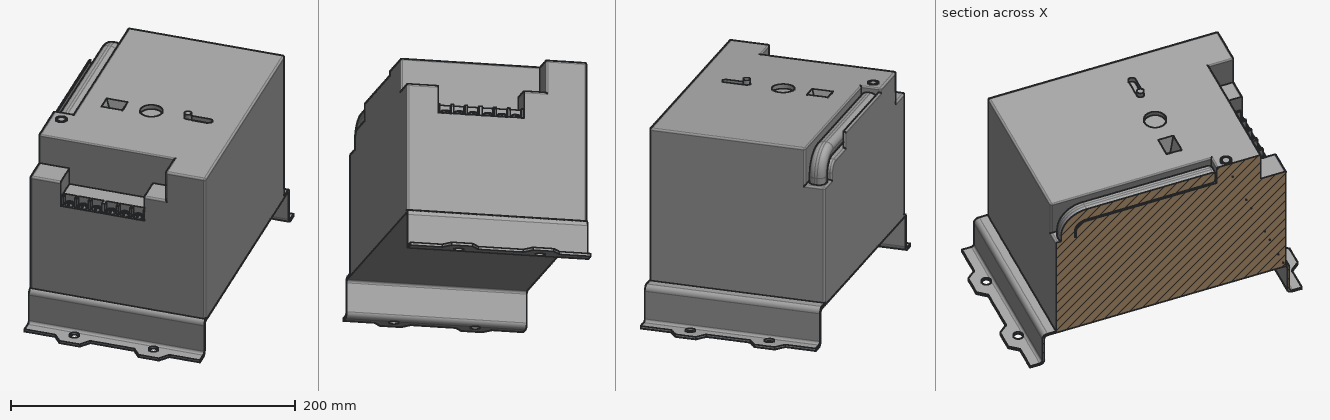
import cadquery as cq
import math

WIDTH = 130.0
LENGTH = 220.0
LEFT = -WIDTH / 2

SHEET = 2.0
BEND_INNER = 2.0
BEND_OUTER = BEND_INNER + SHEET
PLATE_TOP = 29.0
WALL_REAR = 94.15
WALL_FRONT = -94.0
FLANGE_EDGE = 103.2
TAB_X = 29.3
TAB_BASE = 26.0
TAB_TIP = 15.0
HOLE_Y = 99.4
HOLE_DIAMETER = 7.0

TOP = 144.5
BODY_REAR = 83.7
BODY_FRONT = -91.3
EDGE_ROUND = 1.4
RECESS_ROUND = 1.0

LEDGE_RIGHT = 35.4
LEDGE_BACK = -72.1
LEDGE_Z = 121.1
POCKET_X = -11.2
POCKET_WIDTH = 62.0
POCKET_FLOOR = 101.2
BLOCK_TOP = 108.2
BLOCK_FRONT = -89.6
CELL_BACK = -85.5
CELL_WIDTH = 8.5
CELL_PITCH = 10.0
CELL_GROUP_OFFSET = 15.4
SCREW_DIAMETER = 6.0
SCREW_HEIGHT = 2.4
SCREW_ROUND = 1.2
SCREW_SLOT = 1.0
SCREW_Y = -88.4

ROD_SIZE = 12.0
ROD_CORNER = 5.0
ROD_X = -57.2
ROD_FRONT = -37.6
ROD_END_ROUND = 2.5
BEND_Y = 60.6
BEND_Z = 121.6
BEND_RADIUS = 14.0
CHANNEL_RIGHT = -50.5
CHANNEL_FRONT = -38.5
CHANNEL_FLOOR = 116.4
CHANNEL_CLEARANCE = 0.3
CHANNEL_LIP = 1.5
LIP_TOP = 141.6
LIP_REAR = 38.8

CONTROL_Y = -16.8
WINDOW_X = -27.3
WINDOW_SIZE = (15.5, 11.5)
WINDOW_FLOOR_SIZE = (6.0, 3.0)
WINDOW_DEPTH = 11.0
DIAL_DIAMETER = 16.0
DIAL_DEPTH = 3.5
SLOT_START = 27.1
SLOT_TRAVEL = 15.4
SLOT_WIDTH = 5.4
SLOT_DEPTH = 4.0
PIN_DIAMETER = 5.0
PIN_TOP = 148.0
RING_X = -56.4
RING_Y = -47.4
RING_OUTER = 8.0
RING_INNER = 6.0
RING_DEPTH = 1.0


def block(x_range, y_range, z_range):
    """Box between the given limits along X, Y and Z."""
    sizes = [limits[1] - limits[0] for limits in (x_range, y_range, z_range)]
    corner = (x_range[0], y_range[0], z_range[0])
    return cq.Workplane("XY").box(*sizes, centered=False).translate(corner)


def foot(wall, side):
    """One bent foot: wall is its outer face in Y, side is +1 at the rear and -1 at the front."""
    inner = wall - side * SHEET
    edge = side * FLANGE_EDGE
    plate_bottom = PLATE_TOP - SHEET
    profile = [
        (0, PLATE_TOP),
        (wall, PLATE_TOP),
        (wall, SHEET),
        (edge, SHEET),
        (edge, 0),
        (inner, 0),
        (inner, plate_bottom),
        (0, plate_bottom),
    ]
    sheet = cq.Workplane("YZ").polyline(profile).close().extrude(WIDTH / 2, both=True)
    bends = [
        (wall, PLATE_TOP, BEND_OUTER),
        (inner, plate_bottom, BEND_INNER),
        (wall, SHEET, BEND_INNER),
        (inner, 0, BEND_OUTER),
    ]
    for y, z, radius in bends:
        sheet = sheet.edges(cq.selectors.NearestToPointSelector((0, y, z))).fillet(radius)
    for x in (-TAB_X, TAB_X):
        tab = [
            (x - TAB_BASE / 2, edge),
            (x - TAB_TIP / 2, side * LENGTH / 2),
            (x + TAB_TIP / 2, side * LENGTH / 2),
            (x + TAB_BASE / 2, edge),
        ]
        sheet = sheet.union(cq.Workplane("XY").polyline(tab).close().extrude(SHEET))
    holes = (
        cq.Workplane("XY")
        .pushPoints([(-TAB_X, side * HOLE_Y), (TAB_X, side * HOLE_Y)])
        .circle(HOLE_DIAMETER / 2)
        .extrude(BEND_OUTER)
    )
    return sheet.cut(holes)


def channel_profile(front):
    """Side outline of the rod channel from the given front end to the rear face."""
    arc_radius = BEND_RADIUS - ROD_SIZE / 2 - CHANNEL_CLEARANCE
    arc_middle = arc_radius * math.sqrt(0.5)
    return (
        cq.Workplane("YZ")
        .moveTo(front, TOP)
        .lineTo(front, BEND_Z + arc_radius)
        .lineTo(BEND_Y, BEND_Z + arc_radius)
        .threePointArc((BEND_Y + arc_middle, BEND_Z + arc_middle), (BEND_Y + arc_radius, BEND_Z))
        .lineTo(BEND_Y + arc_radius, CHANNEL_FLOOR)
        .lineTo(BODY_REAR, CHANNEL_FLOOR)
        .lineTo(BODY_REAR, TOP)
        .close()
    )


def cut_channel(body):
    """Channel for the rod: open to the left at the rear, behind a thin lip along the front."""
    open_part = channel_profile(LIP_REAR).extrude(CHANNEL_RIGHT - LEFT).translate((LEFT, 0, 0))
    lip_inside = LEFT + CHANNEL_LIP
    lipped_part = channel_profile(CHANNEL_FRONT).extrude(CHANNEL_RIGHT - lip_inside)
    above_lip = block((LEFT, CHANNEL_RIGHT), (CHANNEL_FRONT, LIP_REAR), (LIP_TOP, TOP))
    body = body.cut(lipped_part.translate((lip_inside, 0, 0)))
    return body.cut(open_part).cut(above_lip)


def housing():
    """Box with the ledge and the rod channel cut from it and its outer edges rounded."""
    body = block((LEFT, -LEFT), (BODY_FRONT, BODY_REAR), (PLATE_TOP, TOP))
    ledge = block((LEFT, LEDGE_RIGHT), (BODY_FRONT, LEDGE_BACK), (LEDGE_Z, TOP))
    body = cut_channel(body.cut(ledge))
    side_edges = body.faces("<X or >X or <Y or >Y").edges("not <Z")
    body = side_edges.fillet(EDGE_ROUND)
    recess_edges = body.faces(">Z").edges("(not <X) and (not >X) and (not <Y) and (not >Y)")
    return recess_edges.fillet(RECESS_ROUND)


def screw(x):
    """Rounded terminal screw head with a cross slot."""
    head = cq.Workplane("XY").circle(SCREW_DIAMETER / 2).extrude(SCREW_HEIGHT)
    head = head.faces(">Z").edges().fillet(SCREW_ROUND)
    slot_base = SCREW_HEIGHT - SCREW_SLOT
    for length, width in ((SCREW_DIAMETER, SCREW_SLOT), (SCREW_SLOT, SCREW_DIAMETER)):
        slot = cq.Workplane("XY").workplane(offset=slot_base).rect(length, width).extrude(SCREW_SLOT)
        head = head.cut(slot)
    return head.translate((x, SCREW_Y, POCKET_FLOOR))


def add_terminals(body):
    """Pocket below the ledge, holding a terminal block of two groups of three screws."""
    pocket_x = (POCKET_X - POCKET_WIDTH / 2, POCKET_X + POCKET_WIDTH / 2)
    body = body.cut(block(pocket_x, (BODY_FRONT, LEDGE_BACK), (POCKET_FLOOR, LEDGE_Z)))
    terminals = block(pocket_x, (BLOCK_FRONT, LEDGE_BACK), (POCKET_FLOOR, BLOCK_TOP))
    for group in (-1, 1):
        for place in (-1, 0, 1):
            x = POCKET_X + group * CELL_GROUP_OFFSET + place * CELL_PITCH
            cell_x = (x - CELL_WIDTH / 2, x + CELL_WIDTH / 2)
            cell = block(cell_x, (BLOCK_FRONT, CELL_BACK), (POCKET_FLOOR, BLOCK_TOP))
            terminals = terminals.cut(cell).union(screw(x))
    return body.union(terminals)


def handle_rod():
    """Rod with a rounded square section, lying along Y and bent down at the rear."""
    rod_z = BEND_Z + BEND_RADIUS
    straight = block(
        (ROD_X - ROD_SIZE / 2, ROD_X + ROD_SIZE / 2),
        (ROD_FRONT, BEND_Y),
        (rod_z - ROD_SIZE / 2, rod_z + ROD_SIZE / 2),
    )
    straight = straight.edges("|Y").fillet(ROD_CORNER)
    straight = straight.faces("<Y").edges().fillet(ROD_END_ROUND)
    section = cq.Sketch().rect(ROD_SIZE, ROD_SIZE).vertices().fillet(ROD_CORNER)
    elbow = (
        cq.Workplane("XY", origin=(ROD_X, BEND_Y + BEND_RADIUS, BEND_Z))
        .placeSketch(section)
        .revolve(90, (0, -BEND_RADIUS, 0), (1, -BEND_RADIUS, 0))
    )
    leg = (
        cq.Workplane("XY", origin=(ROD_X, BEND_Y + BEND_RADIUS, CHANNEL_FLOOR))
        .placeSketch(section)
        .extrude(BEND_Z - CHANNEL_FLOOR)
    )
    return straight.union(elbow).union(leg)


def cut_recess(body, x, y, diameter, depth):
    """Round recess in the top face."""
    tool = cq.Workplane("XY", origin=(x, y, TOP)).circle(diameter / 2).extrude(-depth)
    return body.cut(tool)


def add_controls(body):
    """Tapered window, dial recess, slider slot with its pin, and a ring groove."""
    window = (
        cq.Workplane("XY", origin=(WINDOW_X, CONTROL_Y, TOP))
        .rect(*WINDOW_SIZE)
        .workplane(offset=-WINDOW_DEPTH)
        .rect(*WINDOW_FLOOR_SIZE)
        .loft()
    )
    body = cut_recess(body.cut(window), 0, CONTROL_Y, DIAL_DIAMETER, DIAL_DEPTH)

    slot = (
        cq.Workplane("XY", origin=(SLOT_START + SLOT_TRAVEL / 2, CONTROL_Y, TOP))
        .slot2D(SLOT_TRAVEL + SLOT_WIDTH, SLOT_WIDTH)
        .extrude(-SLOT_DEPTH)
    )
    slot_floor = TOP - SLOT_DEPTH
    pin = (
        cq.Workplane("XY", origin=(SLOT_START, CONTROL_Y, slot_floor))
        .circle(PIN_DIAMETER / 2)
        .extrude(PIN_TOP - slot_floor)
    )
    body = body.cut(slot).union(pin)

    ring = (
        cq.Workplane("XY", origin=(RING_X, RING_Y, TOP))
        .circle(RING_OUTER / 2)
        .circle(RING_INNER / 2)
        .extrude(-RING_DEPTH)
    )
    return body.cut(ring)


body = add_controls(add_terminals(housing()))
bracket = foot(WALL_REAR, 1).union(foot(WALL_FRONT, -1))
result = body.union(handle_rod()).union(bracket)